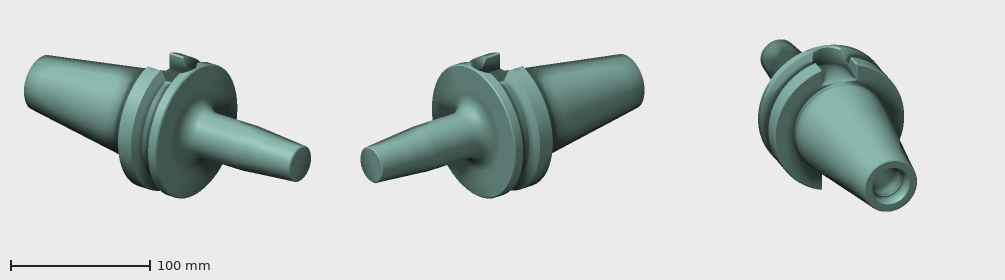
import cadquery as cq
import math

total_length = 231.8
small_end_x = -total_length / 2
nose_x = total_length / 2

taper_length = 100.5
gauge_radius = 35.0
taper_radius_slope = 7 / 48
taper_end_radius = gauge_radius - taper_length * taper_radius_slope
taper_end_chamfer = 0.7
relief_depth = 0.2
relief_start_length = 1.2
relief_length = 1.9
shoulder_length = 1.5
shoulder_rise_length = 0.7
shoulder_radius = 35.2

flange_radius = 49.95
flange_start_x = small_end_x + taper_length + relief_start_length + relief_length + shoulder_length
flange_thickness = 34.8
flange_end_x = flange_start_x + flange_thickness
flange_chamfer = 1.0
groove_center_x = flange_start_x + 20.0
groove_floor_radius = 42.5
groove_floor_width = 6.5
groove_flank_angle = 30.0
groove_flank_run = (flange_radius - groove_floor_radius) * math.tan(math.radians(groove_flank_angle))
groove_mouth_half = groove_floor_width / 2 + groove_flank_run

neck_radius = 17.0
neck_fillet = 11.5
nose_taper_length = 44.7
nose_taper_angle = 4.5
nose_radius = neck_radius - nose_taper_length * math.tan(math.radians(nose_taper_angle))
nose_chamfer = 0.7

slot_half_width = 13.0
slot_end_x = flange_start_x + 32.0
slot_floor_z = shoulder_radius
slot_edge_chamfer = 1.2
slot_mouth_chamfer = 1.0

hole_mouth_radius = 14.4
hole_mouth_depth = 2.3
counterbore_radius = 13.0
counterbore_depth = 9.7
pilot_radius = 12.0
pilot_depth = 12.0
thread_radius = 10.5
thread_depth = 46.4
drill_point_angle = 118.0


def revolve_about_x(profile):
    """Turn a closed (x, radius) profile around the X axis."""
    return profile.close().revolve(360, (0, 0, 0), (1, 0, 0))


def turned_body():
    gauge_x = small_end_x + taper_length
    shoulder_x = flange_start_x - shoulder_length
    relief_radius = gauge_radius - relief_depth
    chamfer_radius = taper_end_radius + taper_end_chamfer * taper_radius_slope
    fillet_drop = neck_fillet * math.sqrt(0.5)
    fillet_center_x = flange_end_x + neck_fillet
    fillet_center_radius = neck_radius + neck_fillet
    nose_chamfer_radius = nose_radius + nose_chamfer * math.tan(math.radians(nose_taper_angle))
    profile = (
        cq.Workplane("XY")
        .moveTo(small_end_x, 0)
        .lineTo(small_end_x, taper_end_radius - taper_end_chamfer)
        .lineTo(small_end_x + taper_end_chamfer, chamfer_radius)
        .lineTo(gauge_x, gauge_radius)
        .lineTo(gauge_x + relief_start_length, relief_radius)
        .lineTo(shoulder_x, relief_radius)
        .lineTo(shoulder_x + shoulder_rise_length, shoulder_radius)
        .lineTo(flange_start_x, shoulder_radius)
        .lineTo(flange_start_x, flange_radius - flange_chamfer)
        .lineTo(flange_start_x + flange_chamfer, flange_radius)
        .lineTo(groove_center_x - groove_mouth_half, flange_radius)
        .lineTo(groove_center_x - groove_floor_width / 2, groove_floor_radius)
        .lineTo(groove_center_x + groove_floor_width / 2, groove_floor_radius)
        .lineTo(groove_center_x + groove_mouth_half, flange_radius)
        .lineTo(flange_end_x - flange_chamfer, flange_radius)
        .lineTo(flange_end_x, flange_radius - flange_chamfer)
        .lineTo(flange_end_x, fillet_center_radius)
        .threePointArc(
            (fillet_center_x - fillet_drop, fillet_center_radius - fillet_drop),
            (fillet_center_x, neck_radius),
        )
        .lineTo(nose_x - nose_taper_length, neck_radius)
        .lineTo(nose_x - nose_chamfer, nose_chamfer_radius)
        .lineTo(nose_x, nose_radius - nose_chamfer)
        .lineTo(nose_x, 0)
    )
    return revolve_about_x(profile)


def stud_hole():
    counterbore_end_x = small_end_x + counterbore_depth
    pilot_end_x = small_end_x + pilot_depth
    thread_end_x = small_end_x + thread_depth
    drill_point_length = thread_radius / math.tan(math.radians(drill_point_angle / 2))
    profile = (
        cq.Workplane("XY")
        .moveTo(small_end_x, 0)
        .lineTo(small_end_x, hole_mouth_radius)
        .lineTo(small_end_x + hole_mouth_depth, counterbore_radius)
        .lineTo(counterbore_end_x, counterbore_radius)
        .lineTo(counterbore_end_x, pilot_radius)
        .lineTo(pilot_end_x, pilot_radius)
        .lineTo(pilot_end_x + pilot_radius - thread_radius, thread_radius)
        .lineTo(thread_end_x, thread_radius)
        .lineTo(thread_end_x + drill_point_length, 0)
    )
    return revolve_about_x(profile)


def drive_slot():
    """Round-ended slot on the +Z side, open towards the taper."""
    mouth_half_width = slot_half_width + slot_mouth_chamfer
    arc_center_x = slot_end_x - slot_half_width
    return (
        cq.Workplane("XY", origin=(0, 0, slot_floor_z))
        .moveTo(flange_start_x, -mouth_half_width)
        .lineTo(flange_start_x + slot_mouth_chamfer, -slot_half_width)
        .lineTo(arc_center_x, -slot_half_width)
        .threePointArc((slot_end_x, 0), (arc_center_x, slot_half_width))
        .lineTo(flange_start_x + slot_mouth_chamfer, slot_half_width)
        .lineTo(flange_start_x, mouth_half_width)
        .close()
        .extrude(flange_radius)
    )


def is_slot_rim(edge):
    """True for the edges where a slot wall meets the outer cylinder of the flange."""
    tolerance = 0.02
    middle = edge.positionAt(0.5)
    on_rim = abs(math.hypot(middle.y, middle.z) - flange_radius) < tolerance
    in_slot = abs(middle.y) < slot_half_width + tolerance
    runs_along_x = edge.BoundingBox().xlen > tolerance
    return on_rim and in_slot and runs_along_x


body = turned_body().cut(stud_hole())
for turn in (0, 180):
    body = body.cut(drive_slot().rotate((0, 0, 0), (1, 0, 0), turn))

slot_rims = [edge for edge in body.edges().vals() if is_slot_rim(edge)]
result = body.newObject(slot_rims).chamfer(slot_edge_chamfer)